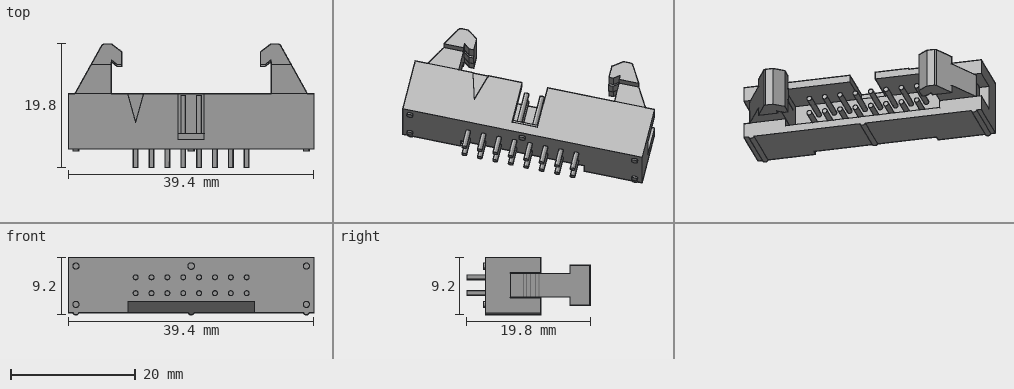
import cadquery as cq


BODY_LENGTH = 39.37
BODY_DEPTH = 8.9
BODY_HEIGHT = 8.9
WALL = 1.22
FLOOR = 2.5
CAVITY_END_WALL = 6.9
END_X = -BODY_LENGTH / 2
MID_Z = BODY_HEIGHT / 2

NOTCH_WIDTH = 4.17
NOTCH_DEPTH = 7.32

MARK_WIDTH = 2.55
MARK_LENGTH = 4.6
MARK_DEPTH = 0.15

PIN_COLUMNS = 8
PIN_ROWS = 2
PIN_ROW_LENGTH = 17.8
PIN_PITCH = PIN_ROW_LENGTH / (PIN_COLUMNS - 1)
PIN_DIAMETER = 0.8
PIN_TAIL = 2.95
PIN_TIP_SETBACK = 0.28
PIN_ONE_X = -PIN_ROW_LENGTH / 2

STANDOFF_HEIGHT = 0.3
STANDOFF_DIAMETER = 1.0
CENTRE_STANDOFF_DIAMETER = 1.05
STANDOFF_INSET_X = 1.22
STANDOFF_INSET_Z = 1.38
STANDOFF_X = BODY_LENGTH / 2 - STANDOFF_INSET_X
RIB_DIAMETER = 1.0
RIB_HEIGHT = 0.3

BEVEL_LENGTH = 20.3
BEVEL_HEIGHT = 1.85
BEVEL_DEPTH = 1.05

SLOT_HEIGHT = 4.0
SLOT_DEPTH = 4.9
SLOT_FLOOR_Y = BODY_DEPTH - SLOT_DEPTH
ARM_HEIGHT = 3.8
HEAD_HEIGHT = 6.4
LATCH_RISE = 7.95
HEAD_BASE = 4.65
HOOK_TIP_X = 8.6
HOOK_FLAT_X = 7.85
HOOK_SLOPE_DROP = 0.75
LIP_HEIGHT = 1.95
LIP_BASE = 4.35
NOSE_RISE = 6.7
CROWN_START_X = 5.65
CROWN_END_X = 6.93
SHOULDER_X = 5.4
SHOULDER_RISE = 7.8
BACK_FOOT_X = 1.05
BACK_SLOPE = (SHOULDER_X - BACK_FOOT_X) / SHOULDER_RISE
HEEL_RISE = -0.28
BULGE_FOOT = (1.6, -SLOT_DEPTH)
BULGE_MID = (1.5, -4.1)
BULGE_TOP = (1.8, -2.75)
NECK_BOTTOM = (2.05, -2.3)
NECK_MID = (2.1, -1.93)
NECK_TOP = (1.93, -1.65)
HEEL_BOTTOM = (1.1, -0.83)
HEEL_MID = (0.9, -0.55)


def box(x_range, y_range, z_range):
    """Box spanning the three given ranges."""
    (x0, x1), (y0, y1), (z0, z1) = x_range, y_range, z_range
    return cq.Workplane("XY").box(x1 - x0, y1 - y0, z1 - z0, centered=False).translate((x0, y0, z0))


def rod(x, z, diameter, y_start, y_end):
    """Round bar along Y."""
    bar = cq.Solid.makeCylinder(diameter / 2, y_end - y_start, cq.Vector(x, y_start, z), cq.Vector(0, 1, 0))
    return cq.Workplane(obj=bar)


def make_body():
    """Block with the mating cavity, keying notch and pin-one mark."""
    body = box((END_X, -END_X), (0, BODY_DEPTH), (0, BODY_HEIGHT))
    cavity_x = END_X + CAVITY_END_WALL
    cavity = box((cavity_x, -cavity_x), (FLOOR, BODY_DEPTH), (WALL, BODY_HEIGHT - WALL))
    notch = box(
        (-NOTCH_WIDTH / 2, NOTCH_WIDTH / 2),
        (BODY_DEPTH - NOTCH_DEPTH, BODY_DEPTH),
        (BODY_HEIGHT - WALL, BODY_HEIGHT),
    )
    mark = (
        cq.Workplane("XY", origin=(PIN_ONE_X, BODY_DEPTH, BODY_HEIGHT))
        .polyline([(-MARK_WIDTH / 2, 0), (MARK_WIDTH / 2, 0), (0, -MARK_LENGTH)])
        .close()
        .extrude(-MARK_DEPTH)
    )
    return body.cut(cavity).cut(notch).cut(mark)


def make_slot():
    """Opening through the -X end wall for the latch."""
    return box(
        (END_X, END_X + CAVITY_END_WALL),
        (SLOT_FLOOR_Y, BODY_DEPTH),
        (MID_Z - SLOT_HEIGHT / 2, MID_Z + SLOT_HEIGHT / 2),
    )


def make_ribs():
    """Low round-bottomed ribs running along Y under the body."""
    axis_z = RIB_DIAMETER / 2 - RIB_HEIGHT
    ribs = cq.Workplane("XY")
    for x in (-STANDOFF_X, 0, STANDOFF_X):
        ribs = ribs.add(rod(x, axis_z, RIB_DIAMETER, 0, BODY_DEPTH))
    return ribs.combine()


def make_bevel():
    """Wedge removed from the lower edge of the pin face, through the middle rib."""
    slope = BEVEL_DEPTH / BEVEL_HEIGHT
    return (
        cq.Workplane("YZ", origin=(-BEVEL_LENGTH / 2, 0, 0))
        .polyline([(0, BEVEL_HEIGHT), (BEVEL_DEPTH + slope * RIB_HEIGHT, -RIB_HEIGHT), (0, -RIB_HEIGHT)])
        .close()
        .extrude(BEVEL_LENGTH)
    )


def latch_plane(height):
    """XY workplane at the end of the open rim, for a prism centred on the body height."""
    return cq.Workplane("XY", origin=(END_X, BODY_DEPTH, MID_Z - height / 2))


def back_x(rise):
    """Distance of the sloping latch back from the body end at a height over the rim."""
    return BACK_FOOT_X + BACK_SLOPE * rise


def hooked_outline(height, start_rise):
    """Open latch outline from a point on the back, over the crown and around the hook."""
    return (
        latch_plane(height)
        .moveTo(back_x(start_rise), start_rise)
        .lineTo(SHOULDER_X, SHOULDER_RISE)
        .lineTo(CROWN_START_X, LATCH_RISE)
        .lineTo(CROWN_END_X, LATCH_RISE)
        .lineTo(HOOK_TIP_X, NOSE_RISE)
        .lineTo(HOOK_TIP_X, HEAD_BASE)
        .lineTo(HOOK_FLAT_X, HEAD_BASE)
        .lineTo(CAVITY_END_WALL, HEAD_BASE + HOOK_SLOPE_DROP)
    )


def make_latch():
    """Latch at the -X end: hooked arm, wider head and a narrow lip under the hook."""
    arm = (
        hooked_outline(ARM_HEIGHT, HEEL_RISE)
        .lineTo(CAVITY_END_WALL, -SLOT_DEPTH)
        .lineTo(*BULGE_FOOT)
        .threePointArc(BULGE_MID, BULGE_TOP)
        .lineTo(*NECK_BOTTOM)
        .threePointArc(NECK_MID, NECK_TOP)
        .lineTo(*HEEL_BOTTOM)
        .threePointArc(HEEL_MID, (back_x(HEEL_RISE), HEEL_RISE))
        .close()
        .extrude(ARM_HEIGHT)
    )
    head = (
        hooked_outline(HEAD_HEIGHT, HEAD_BASE)
        .lineTo(CAVITY_END_WALL, HEAD_BASE)
        .close()
        .extrude(HEAD_HEIGHT)
    )
    lip_drop = HEAD_BASE - LIP_BASE
    lip = (
        latch_plane(LIP_HEIGHT)
        .moveTo(HOOK_TIP_X, HEAD_BASE)
        .lineTo(HOOK_FLAT_X, HEAD_BASE)
        .lineTo(CAVITY_END_WALL, HEAD_BASE + HOOK_SLOPE_DROP)
        .line(0, -lip_drop)
        .lineTo(HOOK_FLAT_X, LIP_BASE)
        .lineTo(HOOK_TIP_X, LIP_BASE)
        .close()
        .extrude(LIP_HEIGHT)
    )
    return arm.union(head).union(lip)


def make_pins():
    """Straight round pins through the cavity floor."""
    pins = cq.Workplane("XY")
    for column in range(PIN_COLUMNS):
        for row in range(PIN_ROWS):
            x = PIN_ONE_X + column * PIN_PITCH
            z = MID_Z + (row - (PIN_ROWS - 1) / 2) * PIN_PITCH
            pins = pins.add(rod(x, z, PIN_DIAMETER, -PIN_TAIL, BODY_DEPTH - PIN_TIP_SETBACK))
    return pins.combine()


def make_standoffs():
    """Four corner standoffs and a larger one at the upper middle."""
    top_z = BODY_HEIGHT - STANDOFF_INSET_Z
    standoffs = rod(0, top_z, CENTRE_STANDOFF_DIAMETER, -STANDOFF_HEIGHT, 0)
    for x in (-STANDOFF_X, STANDOFF_X):
        for z in (STANDOFF_INSET_Z, top_z):
            standoffs = standoffs.add(rod(x, z, STANDOFF_DIAMETER, -STANDOFF_HEIGHT, 0))
    return standoffs.combine()


slot = make_slot()
latch = make_latch()
result = make_body().union(make_ribs()).cut(make_bevel())
result = result.cut(slot).cut(slot.mirror("YZ"))
result = result.union(latch).union(latch.mirror("YZ"))
result = result.union(make_pins()).union(make_standoffs())